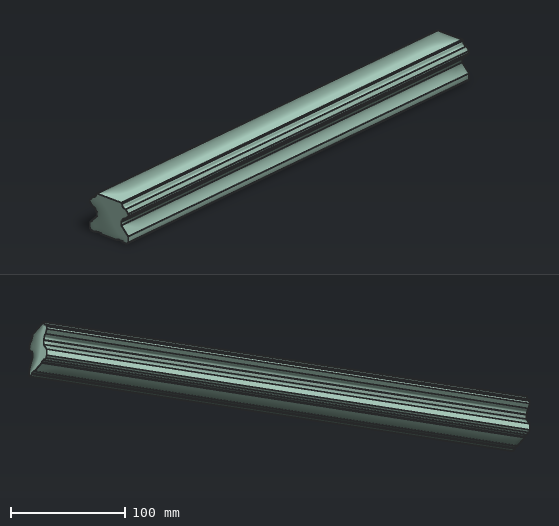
import cadquery as cq
import math

length = 450.0
width = 45.0
height = 38.0

top_chamfer = 1.0
head_half = 15.5
relief_radius = 4.0
nose_depth = 9.5
nose_flat = 2.2

web_half = 14.5
foot_top = 7.5
foot_chamfer = 2.0

groove_inner = 9.5
groove_outer = 15.5
groove_depth = 1.0

half_width = width / 2
nose_z = height - nose_depth
relief_reach = nose_depth - top_chamfer
nose_base = relief_reach - relief_radius
nose_root = head_half + relief_radius
nose_tip = nose_flat / 2
web_bottom = foot_top + half_width - web_half

arc_offset = relief_radius * math.sqrt(0.5)
arc_mid_x = nose_root - arc_offset
arc_mid_rise = relief_reach - arc_offset


def make_right_half():
    """Extrude the +X half of the cross-section along the whole length."""
    return (
        cq.Workplane("XZ", origin=(0, length / 2, 0))
        .moveTo(0, height)
        .lineTo(head_half - top_chamfer, height)
        .lineTo(head_half, height - top_chamfer)
        .threePointArc((arc_mid_x, nose_z + arc_mid_rise), (nose_root, nose_z + nose_base))
        .lineTo(half_width, nose_z + nose_tip)
        .lineTo(half_width, nose_z - nose_tip)
        .lineTo(nose_root, nose_z - nose_base)
        .threePointArc((arc_mid_x, nose_z - arc_mid_rise), (head_half, nose_z - relief_reach))
        .lineTo(web_half, nose_z - relief_reach)
        .lineTo(web_half, web_bottom)
        .lineTo(half_width, foot_top)
        .lineTo(half_width, foot_chamfer)
        .lineTo(half_width - foot_chamfer, 0)
        .lineTo(groove_outer, 0)
        .lineTo(groove_outer, groove_depth)
        .lineTo(groove_inner, groove_depth)
        .lineTo(groove_inner, 0)
        .lineTo(0, 0)
        .close()
        .extrude(length)
    )


right_half = make_right_half()
result = right_half.union(right_half.mirror("YZ")).clean()